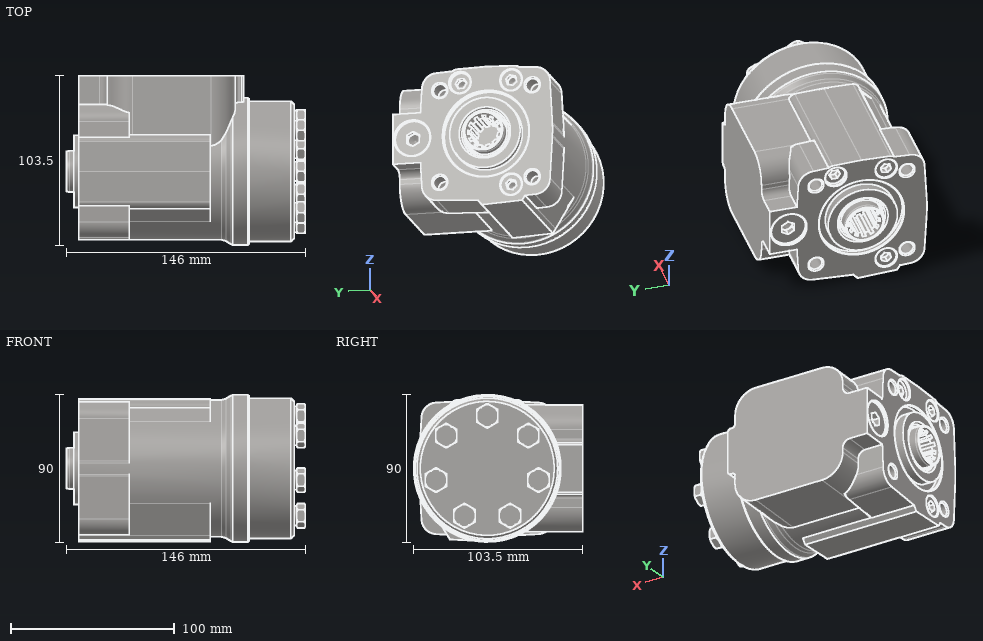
import cadquery as cq
import math


flange_length = 31.0
rib_length = 80.5
fillet_start = 87.3
cone_start = 89.9
cone_end = 93.1
collar_start = 94.3
collar_chamfer_start = 103.3
housing_end = 104.3

barrel_radius = 41.9
cone_start_radius = 42.6
cone_end_radius = 44.5
collar_radius = 45.02
collar_end_radius = 44.0

flange_peak = 41.7
flange_shoulder = 40.3
peak_offset = 4.5
shoulder_offset = 30.6

roof_ridge_z = 42.5
roof_edge_y = 18.5
roof_edge_z = 41.9
roof_round_end = (-22.8, 36.9)
roof_round_middle = (-21.6, 40.1)
upper_flat_angle = 43.0
lower_flat_angle = 30.7
keel_outline = [(0, 0), (5.4, -41.5), (2.5, -44.8), (-22.8, -43.5), (-24.5, -40.7)]

block_top_y = 58.45
block_half_height = 38.8
neck_half_height = 15.8
neck_length = 12.7
neck_fillet = 5.0
shoulder_x = neck_length + neck_fillet
shoulder_round = 15.0
block_rear_x = 95.7
rear_fillet = 2.2
rear_chamfer = 1.3
block_end_x = 101.0

boss_height = 2.8
boss_diameter = 44.2
groove_diameter = 54.7
groove_depth = 3.4
groove_chamfer = 0.5
seal_chamfer_diameter = 32.3
seal_bore_diameter = 29.6
seal_lip_diameter = 27.1
seal_lip_depth = 2.9

mount_offset = 29.0
mount_hole_diameter = 8.3
mount_mouth_diameter = 10.0
mount_hole_depth = 14.6
drill_half_angle = 59.0
screw_mouth_diameter = 14.0
screw_seat_diameter = 13.0
screw_hex = 6.0
screw_seats = [
    (16.3, 33.3, 2.6, 0),
    (-15.8, 33.0, 0.6, 15),
    (-15.8, -33.0, 0.6, 15),
]
plug_y = 46.3
plug_mouth_diameter = 23.0
plug_seat_diameter = 22.0
plug_seat_depth = 1.8
plug_hex = 8.0
plug_turn = 30
socket_depth = 4.4

shaft_diameter = 25.4
shaft_tip_x = -7.5
shaft_end_x = flange_length
shaft_tip_drop = 0.5
shaft_tip_chamfer = 1.9
shaft_mouth_diameter = 23.0
shaft_counterbore_diameter = 22.0
spline_minor_diameter = 17.1
spline_major_diameter = 20.1
spline_count = 12
spline_gap_width = 2.2
spline_end_x = 14.6

motor_diameter = 86.0
motor_end = 131.8
motor_chamfer = 2.0
bolt_count = 7
bolt_circle_radius = 32.1
bolt_neck_diameter = 12.0
bolt_hex = 13.0
bolt_head_x = 133.2
bolt_end_x = 138.5
bolt_chamfer = 0.7


def plane_at(x):
    """Plane across the X axis, with local x along Y and local y along Z."""
    return cq.Workplane("YZ", origin=(x, 0, 0))


def disc(x_start, x_end, diameter, y=0, z=0):
    return plane_at(x_start).center(y, z).circle(diameter / 2).extrude(x_end - x_start)


def cone(x_start, radius_start, x_end, radius_end, y=0, z=0):
    """Truncated or pointed cone along X."""
    profile = [(x_start, 0), (x_start, radius_start), (x_end, radius_end)]
    if radius_end > 0:
        profile.append((x_end, 0))
    body = cq.Workplane("XY").polyline(profile).close().revolve(360, (0, 0, 0), (1, 0, 0))
    return body.translate((0, y, z))


def hexagon(x_start, x_end, across_flats, y=0, z=0, turn=0):
    """Hexagonal prism along X; at zero turn two of its corners point along Y."""
    across_corners = across_flats / math.cos(math.radians(30))
    prism = plane_at(x_start).polygon(6, across_corners).extrude(x_end - x_start)
    return prism.rotate((0, 0, 0), (1, 0, 0), turn).translate((0, y, z))


def drill_tip_length(diameter):
    return diameter / 2 / math.tan(math.radians(drill_half_angle))


def hex_socket(x_start, across_flats, y, z, turn):
    """Hexagonal socket with a drilled conical bottom."""
    x_bottom = x_start + socket_depth
    tip = cone(x_bottom, across_flats / 2, x_bottom + drill_tip_length(across_flats), 0, y, z)
    return hexagon(x_start, x_bottom, across_flats, y, z, turn).union(tip)


def make_barrel():
    """Round barrel that flares into the rear collar."""
    profile = [
        (0, 0),
        (0, barrel_radius),
        (fillet_start, barrel_radius),
        (cone_start, cone_start_radius),
        (cone_end, cone_end_radius),
        (collar_start, collar_radius),
        (collar_chamfer_start, collar_radius),
        (housing_end, collar_end_radius),
        (housing_end, 0),
    ]
    return cq.Workplane("XY").polyline(profile).close().revolve(360, (0, 0, 0), (1, 0, 0))


def make_flange():
    """Square front flange with slightly sloping sides and round corners."""
    corner_radius = flange_shoulder - shoulder_offset
    corner_middle = shoulder_offset + corner_radius * math.cos(math.radians(45))
    quadrants = [(1, 1), (-1, 1), (-1, -1), (1, -1)]
    outline = plane_at(0).moveTo(flange_peak, -peak_offset)
    for sy, sz in quadrants:
        beside_y = [(sy * flange_peak, sz * peak_offset), (sy * flange_shoulder, sz * shoulder_offset)]
        beside_z = [(sy * peak_offset, sz * flange_peak), (sy * shoulder_offset, sz * flange_shoulder)]
        first, last = (beside_y, beside_z) if sy == sz else (beside_z, beside_y)
        outline = outline.lineTo(*first[0]).lineTo(*first[1])
        outline = outline.threePointArc((sy * corner_middle, sz * corner_middle), last[1])
        outline = outline.lineTo(*last[0])
    return outline.close().extrude(flange_length)


def barrel_point(angle):
    """Point on the barrel, at an angle in degrees above the -Y direction."""
    turn = math.radians(angle)
    return (-barrel_radius * math.cos(turn), barrel_radius * math.sin(turn))


def make_roof():
    """Shallow gabled rib along the top, rounded down to flats that meet the barrel."""
    flat_end = barrel_point(upper_flat_angle)

    def mirrored(point):
        return (-point[0], point[1])

    outline = (
        plane_at(0)
        .moveTo(0, 0)
        .lineTo(*flat_end)
        .lineTo(*roof_round_end)
        .threePointArc(roof_round_middle, (-roof_edge_y, roof_edge_z))
        .lineTo(0, roof_ridge_z)
        .lineTo(roof_edge_y, roof_edge_z)
        .threePointArc(mirrored(roof_round_middle), mirrored(roof_round_end))
        .lineTo(*mirrored(flat_end))
    )
    return outline.close().extrude(rib_length)


def make_keel():
    """Stepped rib along the bottom with a flat that meets the barrel on the -Y side."""
    outline = keel_outline + [barrel_point(-lower_flat_angle)]
    return plane_at(0).polyline(outline).close().extrude(rib_length)


def make_port_block():
    """Block on the +Y side: narrow neck, S-shaped shoulders, round rear edges."""
    diagonal = math.cos(math.radians(45))
    neck_arc_z = neck_half_height + neck_fillet
    round_start_z = block_half_height - shoulder_round
    front_round_x = shoulder_x + shoulder_round
    rear_round_x = block_rear_x - shoulder_round
    rear_fillet_x = block_rear_x + rear_fillet
    half = (
        cq.Workplane("XZ")
        .moveTo(0, 0)
        .lineTo(0, neck_half_height)
        .lineTo(neck_length, neck_half_height)
        .threePointArc(
            (neck_length + neck_fillet * diagonal, neck_arc_z - neck_fillet * diagonal),
            (shoulder_x, neck_arc_z),
        )
        .lineTo(shoulder_x, round_start_z)
        .threePointArc(
            (front_round_x - shoulder_round * diagonal, round_start_z + shoulder_round * diagonal),
            (front_round_x, block_half_height),
        )
        .lineTo(rear_round_x, block_half_height)
        .threePointArc(
            (rear_round_x + shoulder_round * diagonal, round_start_z + shoulder_round * diagonal),
            (block_rear_x, round_start_z),
        )
        .lineTo(block_rear_x, neck_half_height + rear_fillet)
        .threePointArc(
            (rear_fillet_x - rear_fillet * diagonal, neck_half_height + rear_fillet * (1 - diagonal)),
            (rear_fillet_x, neck_half_height),
        )
        .lineTo(block_end_x - rear_chamfer, neck_half_height)
        .lineTo(block_end_x, neck_half_height - rear_chamfer)
        .lineTo(block_end_x, 0)
        .close()
        .extrude(-block_top_y)
    )
    return half.union(half.mirror("XY"))


def cut_boss_and_bore(housing):
    """Front boss inside an annular groove, with a seal lip around the shaft."""
    mouth = cone(0, groove_diameter / 2, groove_chamfer, groove_diameter / 2 - groove_chamfer)
    floor = disc(0, groove_depth, groove_diameter - 2 * groove_chamfer)
    boss = disc(-boss_height, groove_depth, boss_diameter)
    seal_chamfer = (seal_chamfer_diameter - seal_bore_diameter) / 2
    seal_mouth = cone(
        -boss_height, seal_chamfer_diameter / 2, seal_chamfer - boss_height, seal_bore_diameter / 2
    )
    seal_lip = disc(-boss_height, seal_lip_depth, seal_lip_diameter)
    shaft_bore = disc(-boss_height, shaft_end_x, shaft_diameter)
    housing = housing.cut(mouth).cut(floor).union(boss)
    return housing.cut(seal_mouth).cut(seal_lip).cut(shaft_bore)


def flared_hole(depth, diameter, mouth_diameter, y, z):
    """Flat-bottomed hole from the mounting face with a 45 degree chamfered mouth."""
    chamfer = (mouth_diameter - diameter) / 2
    mouth = cone(0, mouth_diameter / 2, chamfer, diameter / 2, y, z)
    return disc(0, depth, diameter, y, z).union(mouth)


def cut_mounting_holes(housing):
    """Four blind drilled holes with countersunk mouths."""
    tip_end = mount_hole_depth + drill_tip_length(mount_hole_diameter)
    for y in (-mount_offset, mount_offset):
        for z in (-mount_offset, mount_offset):
            hole = flared_hole(mount_hole_depth, mount_hole_diameter, mount_mouth_diameter, y, z)
            tip = cone(mount_hole_depth, mount_hole_diameter / 2, tip_end, 0, y, z)
            housing = housing.cut(hole).cut(tip)
    return housing


def cut_screw_seats(housing):
    """Recessed screw heads in the flange and the large plug in the port block."""
    for y, z, depth, turn in screw_seats:
        housing = housing.cut(flared_hole(depth, screw_seat_diameter, screw_mouth_diameter, y, z))
        housing = housing.cut(hex_socket(depth, screw_hex, y, z, turn))
    housing = housing.cut(flared_hole(plug_seat_depth, plug_seat_diameter, plug_mouth_diameter, plug_y, 0))
    return housing.cut(hex_socket(plug_seat_depth, plug_hex, plug_y, 0, plug_turn))


def make_housing():
    housing = make_barrel().union(make_flange()).union(make_roof())
    housing = housing.union(make_keel()).union(make_port_block())
    housing = cut_boss_and_bore(housing)
    housing = cut_mounting_holes(housing)
    return cut_screw_seats(housing)


def make_shaft():
    """Hollow shaft end with an internal spline behind a conical lead-in."""
    radius = shaft_diameter / 2
    tip_end = shaft_tip_x + shaft_tip_chamfer
    shaft = cone(shaft_tip_x, radius - shaft_tip_drop, tip_end, radius)
    shaft = shaft.union(disc(tip_end, shaft_end_x, shaft_diameter))

    mouth_radius = shaft_mouth_diameter / 2
    counterbore_radius = shaft_counterbore_diameter / 2
    minor_radius = spline_minor_diameter / 2
    mouth_end = shaft_tip_x + mouth_radius - counterbore_radius
    lead_in_end = mouth_end + counterbore_radius - minor_radius
    shaft = shaft.cut(cone(shaft_tip_x, mouth_radius, mouth_end, counterbore_radius))
    shaft = shaft.cut(cone(mouth_end, counterbore_radius, lead_in_end, minor_radius))
    shaft = shaft.cut(disc(mouth_end, spline_end_x, spline_minor_diameter))

    gap = (
        plane_at(mouth_end)
        .center(spline_major_diameter / 4, 0)
        .rect(spline_major_diameter / 2, spline_gap_width)
        .extrude(spline_end_x - mouth_end)
    )
    for i in range(spline_count):
        shaft = shaft.cut(gap.rotate((0, 0, 0), (1, 0, 0), i * 360 / spline_count))
    return shaft


def make_bolt_head(y, z):
    """Hexagonal bolt head with chamfered corners on a round neck."""
    corner_radius = bolt_hex / 2 / math.cos(math.radians(30))
    envelope = disc(bolt_head_x, bolt_end_x, 2 * corner_radius).edges().chamfer(bolt_chamfer)
    head = hexagon(bolt_head_x, bolt_end_x, bolt_hex, turn=30).intersect(envelope)
    neck = disc(motor_end, bolt_head_x, bolt_neck_diameter)
    return head.union(neck).translate((0, y, z))


def make_motor_section():
    """Round motor section with a chamfered rear rim and a ring of bolt heads."""
    section = disc(housing_end, motor_end, motor_diameter).faces(">X").chamfer(motor_chamfer)
    for i in range(bolt_count):
        angle = 2 * math.pi * i / bolt_count
        y = bolt_circle_radius * math.sin(angle)
        z = bolt_circle_radius * math.cos(angle)
        section = section.union(make_bolt_head(y, z))
    return section


housing = make_housing()
shaft = make_shaft()
motor_section = make_motor_section()
result = cq.Compound.makeCompound([housing.val(), shaft.val(), motor_section.val()])